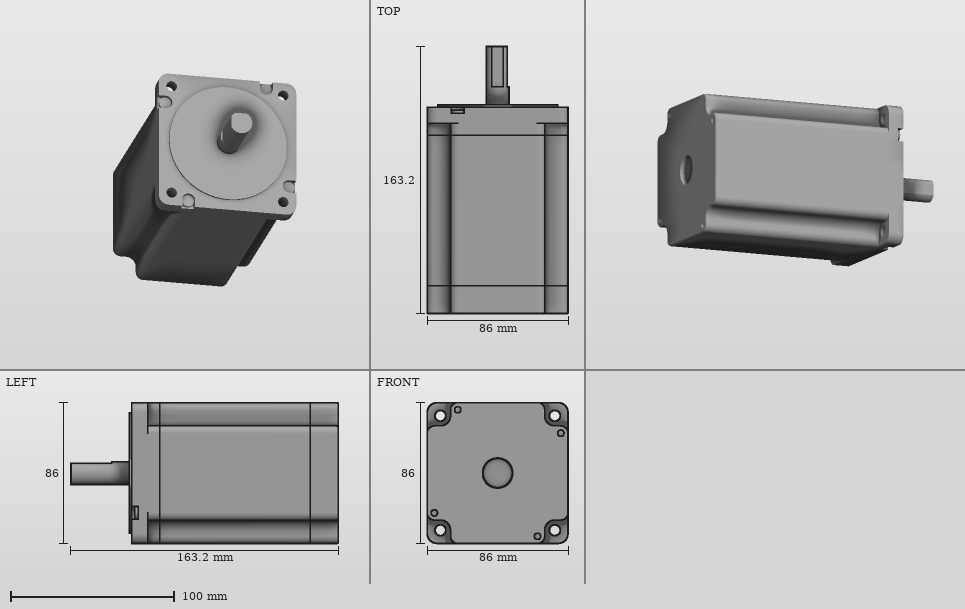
import cadquery as cq
import math


total_length = 163.2
body_width = 86.0
body_length = 126.2
half_width = body_width / 2
rear_y = -body_length

flange_thickness = 10.0
flange_corner_radius = 6.0
cover_length = 17.3
pilot_diameter = 73.5
pilot_height = 1.5
mount_hole_offset = 35.0
mount_hole_diameter = 6.5

corner_count = 4
lobe_half_width = 28.7
lobe_radius = 4.4
corner_radius = mount_hole_offset - lobe_half_width
flat_half_width = lobe_half_width - lobe_radius

cap_length = 17.1
cap_fillet = 1.0
recess_diameter = 17.8
recess_depth = 3.0
recess_chamfer = 0.3

shaft_diameter = 14.0
shaft_length = total_length - body_length
flat_length = 24.8
flat_depth = 1.0

screw_count = corner_count
screw_x = -flat_half_width
screw_z = half_width - lobe_radius
screw_diameter = 3.9
screw_head_height = 2.0
screw_tip_recess = 2.0
head_slot_width = 8.0
head_slot_depth = 3.9
screw_head_diameter = 7.5


def front_plane(y):
    """Sketch plane at height y whose extrusions run toward -Y, with local x and y along X and Z."""
    return cq.Workplane("XZ", origin=(0, y, 0))


def turned(shape, index):
    """The shape turned about the motor axis to screw position `index`."""
    return shape.rotate((0, 0, 0), (0, 1, 0), index * 360 / screw_count)


def body_block(start_y, length):
    """Length of the motor body, reaching from start_y toward -Y."""
    arc_middle = math.cos(math.pi / 4)
    lobe_middle = lobe_radius * arc_middle
    hollow_middle = mount_hole_offset - corner_radius * arc_middle
    corner = [
        ("line", (flat_half_width, half_width)),
        ("arc", (flat_half_width + lobe_middle, screw_z + lobe_middle), (lobe_half_width, screw_z)),
        ("line", (lobe_half_width, mount_hole_offset)),
        ("arc", (hollow_middle, hollow_middle), (mount_hole_offset, lobe_half_width)),
        ("line", (screw_z, lobe_half_width)),
        ("arc", (screw_z + lobe_middle, flat_half_width + lobe_middle), (half_width, flat_half_width)),
    ]
    outline = front_plane(start_y).moveTo(-flat_half_width, half_width)
    for quarter in range(corner_count):
        for kind, *points in corner:
            for _ in range(quarter):
                points = [(z, -x) for x, z in points]
            if kind == "line":
                outline = outline.lineTo(*points[0])
            else:
                outline = outline.threePointArc(*points)
    return outline.close().extrude(length)


def screw_bores(start_y, end_y):
    """Cylinders in the four screw places, running from start_y to end_y."""
    bore = front_plane(start_y).center(screw_x, screw_z)
    bore = bore.circle(screw_diameter / 2).extrude(start_y - end_y)
    bores = bore
    for index in range(1, screw_count):
        bores = bores.add(turned(bore, index))
    return bores.combine()


def make_shaft():
    """Round shaft standing on the mounting face, with one flat facing +Z and one facing +X."""
    tip_y = shaft_length
    shaft = front_plane(tip_y).circle(shaft_diameter / 2).extrude(shaft_length)
    flat_distance = shaft_diameter / 2 - flat_depth
    above_flat = front_plane(tip_y).center(0, flat_distance + shaft_diameter / 2)
    flat_cutter = above_flat.rect(shaft_diameter, shaft_diameter).extrude(flat_length)
    return shaft.cut(flat_cutter).cut(flat_cutter.rotate((0, 0, 0), (0, 1, 0), 90))


def make_front_cover():
    """One-piece flange, pilot boss and output shaft, with mounting holes and screw head slots."""
    flange = front_plane(0).rect(body_width, body_width).extrude(flange_thickness)
    flange = flange.edges("|Y").fillet(flange_corner_radius)
    hole_spacing = 2 * mount_hole_offset
    mount_holes = (
        front_plane(0)
        .rect(hole_spacing, hole_spacing, forConstruction=True)
        .vertices()
        .circle(mount_hole_diameter / 2)
        .extrude(flange_thickness)
    )
    flange = flange.cut(mount_holes)
    pilot = front_plane(pilot_height).circle(pilot_diameter / 2).extrude(pilot_height)
    cover = flange.union(body_block(-flange_thickness, cover_length - flange_thickness))

    slot_length = half_width - screw_z
    slot_end = front_plane(0).center(screw_x, screw_z).circle(head_slot_width / 2).extrude(head_slot_depth)
    slot_mouth = front_plane(0).center(screw_x, screw_z + slot_length / 2)
    slot_mouth = slot_mouth.rect(head_slot_width, slot_length).extrude(head_slot_depth)
    head_slot = slot_end.union(slot_mouth)
    for index in range(screw_count):
        cover = cover.cut(turned(head_slot, index))
    cover = cover.cut(screw_bores(-head_slot_depth, -cover_length))
    return cover.union(pilot).union(make_shaft())


def make_stator():
    """Plain middle length of the body."""
    end_y = rear_y + cap_length
    stator = body_block(-cover_length, -cover_length - end_y)
    return stator.cut(screw_bores(-cover_length, end_y))


def make_rear_cap():
    """Rear end of the body, with a rounded rim and a shallow round recess with a chamfered mouth."""
    cap = body_block(rear_y + cap_length, cap_length)
    cap = cap.faces("<Y").fillet(cap_fillet)
    recess = front_plane(rear_y + recess_depth).circle(recess_diameter / 2).extrude(recess_depth)
    cap = cap.cut(recess)
    recess_edge = cq.selectors.RadiusNthSelector(-1)
    cap = cap.faces("<Y").edges(recess_edge).chamfer(recess_chamfer)
    return cap.cut(screw_bores(rear_y + cap_length, rear_y))


def make_screw(index):
    """Screw with a flat round head on its slot floor, ending just inside the rear face."""
    seat_y = -head_slot_depth
    tip_y = rear_y + screw_tip_recess
    head_top_y = seat_y + screw_head_height
    head = front_plane(head_top_y).center(screw_x, screw_z)
    head = head.circle(screw_head_diameter / 2).extrude(screw_head_height)
    shank = front_plane(seat_y).center(screw_x, screw_z)
    shank = shank.circle(screw_diameter / 2).extrude(seat_y - tip_y)
    return turned(head.union(shank), index)


front_cover = make_front_cover()
stator = make_stator()
rear_cap = make_rear_cap()
screws = [make_screw(index) for index in range(screw_count)]

result = cq.Compound.makeCompound(
    [front_cover.val(), stator.val(), rear_cap.val(), *[screw.val() for screw in screws]]
)